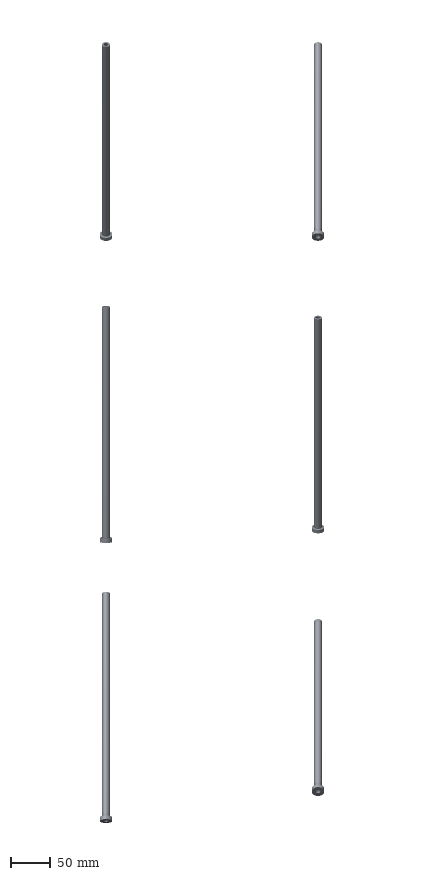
import cadquery as cq

total_length = 305.0
head_diameter = 16.0
head_height = 5.0
shank_diameter = 10.0
bore_diameter = 6.0

head = cq.Workplane("XY").circle(head_diameter / 2).extrude(head_height)
shank = cq.Workplane("XY").circle(shank_diameter / 2).extrude(total_length)
bore = cq.Workplane("XY").circle(bore_diameter / 2).extrude(total_length)

result = head.union(shank).cut(bore)